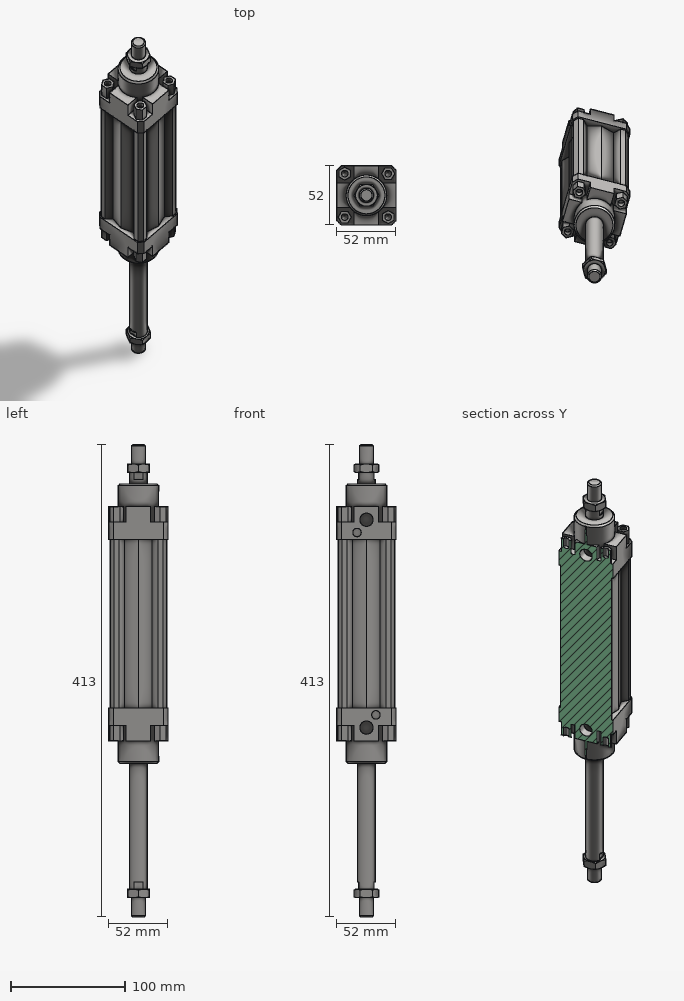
import cadquery as cq
import math

total_length = 413.0
rod_reach_above_cap = 54.0
cap_width = 52.0
cap_height = 29.0
cap_end = 102.5
cap_inner = cap_end - cap_height
cap_corner_chamfer = 4.0

recess_depth = 13.5
recess_floor = cap_end - recess_depth
arm_half_width = 10.7

screw_offset = 19.0
screw_across_flats = 10.0
screw_hole_radius = 3.0
screw_hole_depth = 8.3
drill_point_angle = 118

boss_radius = 17.8
boss_height = 20.0
boss_chamfer = 1.5
boss_end = cap_end + boss_height

barrel_half_width = 24.8
barrel_corner = 21.5
groove_outer = 17.0
groove_inner = 12.0
groove_floor = barrel_half_width - (groove_outer - groove_inner)
ridge_drop = 1.5
ridge_top = barrel_half_width - ridge_drop

air_port_radius = 5.8
air_port_depth = 16.5
air_port_inset = 11.5
cushion_port_radius = 3.7
cushion_port_depth = 2.0
cushion_port_inset = 22.7
cushion_port_offset = 8.3

nut_across_flats = 19.0
nut_height = 7.5
nut_chamfer_radius = 9.5
nut_chamfer_angle = 30
nut_inset = 17.0

rod_radius = 8.0
thread_radius = 6.0
thread_chamfer = 1.2
thread_length = nut_inset + nut_height
wrench_flat_width = 13.5
wrench_flat_length = 6.0
rod_top = cap_end + rod_reach_above_cap
rod_bottom = rod_top - total_length


def cylinder(radius, bottom, top):
    return cq.Workplane("XY", origin=(0, 0, bottom)).circle(radius).extrude(top - bottom)


def hexagon(across_flats, height):
    """Hexagonal prism with two corners on the X axis."""
    across_corners = across_flats / math.cos(math.pi / 6)
    return cq.Workplane("XY").polygon(6, across_corners).extrude(height)


def make_barrel():
    side = [
        (-barrel_corner, barrel_half_width),
        (-groove_outer, barrel_half_width),
        (-groove_inner, groove_floor),
        (0, ridge_top),
        (groove_inner, groove_floor),
        (groove_outer, barrel_half_width),
        (barrel_corner, barrel_half_width),
    ]
    outline = []
    for quarter in range(4):
        for x, y in side:
            for _ in range(quarter):
                x, y = y, -x
            outline.append((x, y))
    return cq.Workplane("XY", origin=(0, 0, -cap_inner)).polyline(outline).close().extrude(2 * cap_inner)


def make_cap_block():
    block = (
        cq.Workplane("XY", origin=(0, 0, cap_inner))
        .rect(cap_width, cap_width)
        .extrude(cap_height)
        .edges("|Z")
        .chamfer(cap_corner_chamfer)
    )
    recess_size = cap_width / 2 - arm_half_width
    recess_spacing = 2 * arm_half_width + recess_size
    recesses = (
        cq.Workplane("XY", origin=(0, 0, recess_floor))
        .rarray(recess_spacing, recess_spacing, 2, 2)
        .rect(recess_size, recess_size)
        .extrude(recess_depth)
    )
    return block.cut(recesses)


def make_screw_head():
    point_height = screw_hole_radius / math.tan(math.radians(drill_point_angle / 2))
    hole_bottom = recess_depth - screw_hole_depth
    drilled_hole = (
        cq.Workplane("XZ")
        .moveTo(0, hole_bottom - point_height)
        .lineTo(screw_hole_radius, hole_bottom)
        .lineTo(screw_hole_radius, recess_depth)
        .lineTo(0, recess_depth)
        .close()
        .revolve(360, (0, 0, 0), (0, 1, 0))
    )
    head = hexagon(screw_across_flats, recess_depth).cut(drilled_hole)
    return head.translate((-screw_offset, -screw_offset, recess_floor))


def make_port(x, inset, radius, depth):
    front_face = cq.Workplane("XZ", origin=(x, -cap_width / 2, cap_end - inset))
    return front_face.circle(radius).extrude(-depth)


def make_end_cap(cushion_port_x):
    cap = make_cap_block()
    for quarter in range(4):
        cap = cap.union(make_screw_head().rotate((0, 0, 0), (0, 0, 1), 90 * quarter))
    boss = cylinder(boss_radius, cap_inner, boss_end).faces(">Z").chamfer(boss_chamfer)
    air_port = make_port(0, air_port_inset, air_port_radius, air_port_depth)
    cushion_port = make_port(cushion_port_x, cushion_port_inset, cushion_port_radius, cushion_port_depth)
    return cap.union(boss).cut(air_port).cut(cushion_port)


def make_housing():
    upper_cap = make_end_cap(-cushion_port_offset)
    lower_cap = make_end_cap(cushion_port_offset).mirror("XY")
    rod_bore = cylinder(rod_radius, -boss_end, boss_end)
    return make_barrel().union(upper_cap).union(lower_cap).cut(rod_bore)


def make_rod():
    shank_top = rod_top - thread_length
    shank_bottom = rod_bottom + thread_length
    rod = cylinder(thread_radius, rod_bottom, rod_top).faces("<Z or >Z").chamfer(thread_chamfer)
    rod = rod.union(cylinder(rod_radius, shank_bottom, shank_top))
    for bottom in (shank_bottom, shank_top - wrench_flat_length):
        for side in (-1, 1):
            flat_cut = (
                cq.Workplane("XY", origin=(side * (wrench_flat_width / 2 + rod_radius), 0, bottom))
                .rect(2 * rod_radius, 2 * rod_radius)
                .extrude(wrench_flat_length)
            )
            rod = rod.cut(flat_cut)
    return rod


def make_nut(bottom):
    blank_radius = nut_across_flats / 2 / math.cos(math.pi / 6)
    chamfer_drop = (blank_radius - nut_chamfer_radius) * math.tan(math.radians(nut_chamfer_angle))
    blank = (
        cq.Workplane("XZ")
        .moveTo(thread_radius, 0)
        .lineTo(nut_chamfer_radius, 0)
        .lineTo(blank_radius, chamfer_drop)
        .lineTo(blank_radius, nut_height - chamfer_drop)
        .lineTo(nut_chamfer_radius, nut_height)
        .lineTo(thread_radius, nut_height)
        .close()
        .revolve(360, (0, 0, 0), (0, 1, 0))
    )
    return hexagon(nut_across_flats, nut_height).intersect(blank).translate((0, 0, bottom))


housing = make_housing()
rod = make_rod()
nuts = []
for nut_bottom in (rod_top - thread_length, rod_bottom + nut_inset):
    nuts.append(make_nut(nut_bottom).solids().val())

result = cq.Compound.makeCompound([housing.solids().val(), rod.solids().val(), *nuts])